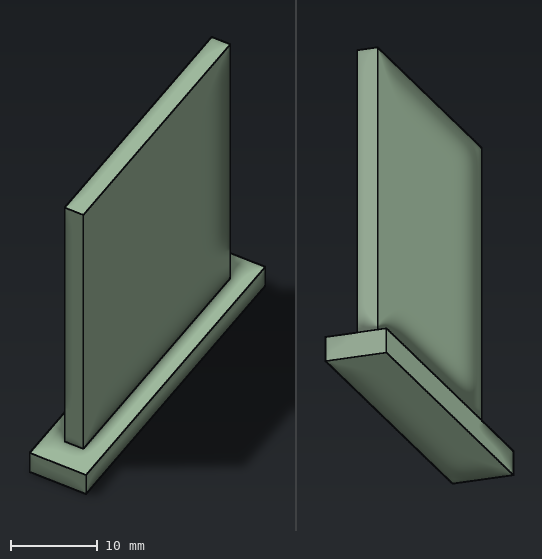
import cadquery as cq

base_width = 7.5
base_length = 41.0
base_height = 3.0

panel_thickness = 2.5
panel_length = 33.6
overall_height = 39.5
panel_height = overall_height - base_height

base = cq.Workplane("XY").box(base_width, base_length, base_height, centered=(True, True, False))

result = (
    base.faces(">Z")
    .workplane()
    .rect(panel_thickness, panel_length)
    .extrude(panel_height)
)